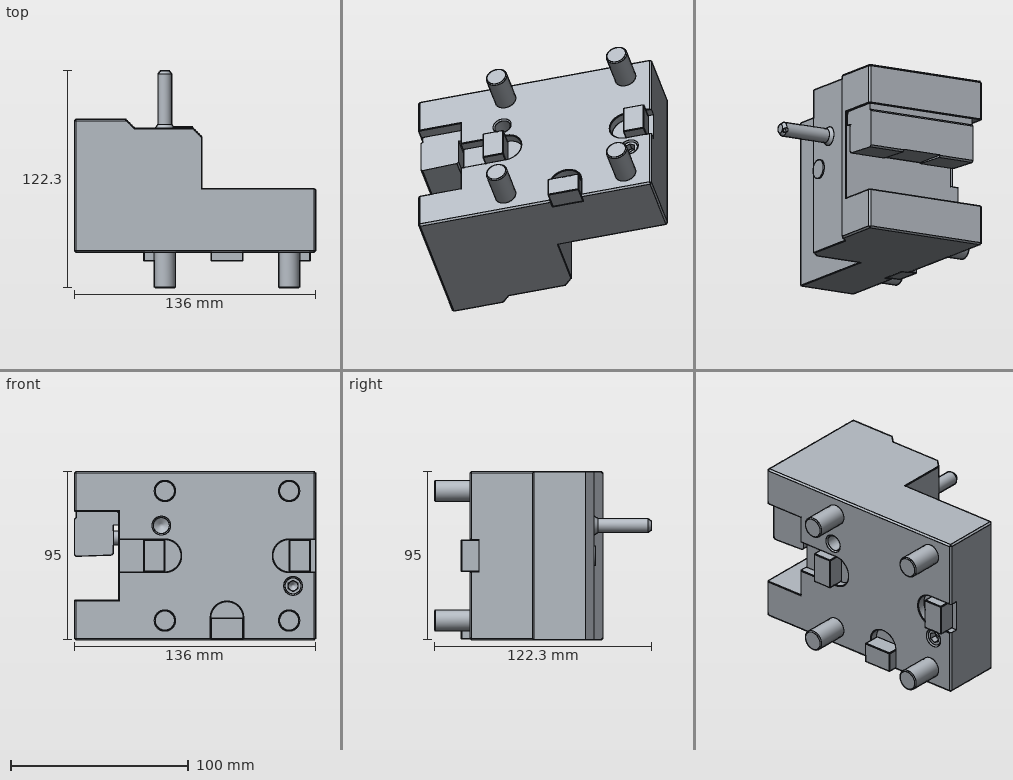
import cadquery as cq
import math

LENGTH = 136.0
DEPTH = 75.0
HEIGHT = 95.0
MID_Z = HEIGHT / 2
EDGE_CHAMFER = 1.0
FINE_CHAMFER = 0.4
WING_CORNER_CHAMFER = 0.9

STEP_BEVEL = 5.0
STEP_Y = DEPTH - STEP_BEVEL
STEP_START_X = 29.0
SHOULDER_X = 72.0
WING_Y = 36.0

JAW_DEPTH = 25.0
JAW_HEIGHT = 50.0
JAW_BOTTOM = MID_Z - JAW_HEIGHT / 2
JAW_TOP = MID_Z + JAW_HEIGHT / 2

PIN_DIAMETER = 12.0
PIN_LENGTH = 20.0
PIN_CHAMFER = 0.6
PIN_LEFT_X = 51.0
PIN_RIGHT_X = 121.0
PIN_SPACING_Z = 73.0

KEYWAY_DEPTH = 5.0
KEYWAY_OVERRUN = 2.0
MOUTH_TAPER = 45.0
KEY_WIDTH = 18.0
KEY_CLEARANCE = 0.2
KEYWAY_WIDTH = KEY_WIDTH + KEY_CLEARANCE
KEY_THICKNESS = 12.0
KEY_HEIGHT = 5.0
KEY_CHAMFER = 0.4
LOWER_KEYWAY_X = (PIN_LEFT_X + PIN_RIGHT_X) / 2
LOWER_KEYWAY_Z = 12.5
LOWER_KEY_BOTTOM = 0.5

TAP_DIAMETER = 9.0
TAP_MOUTH_DIAMETER = 10.6
TAP_DEPTH = 20.0
DRILL_POINT_ANGLE = 118.0
OPEN_HOLE_X = 49.0
OPEN_HOLE_Z = 64.5
SCREW_HOLE_X = 123.2
SCREW_HOLE_Z = 30.5
SCREW_SINK = 0.9
SCREW_END_Y = 25.0
SOCKET_WIDTH = 5.5
SOCKET_DEPTH = 4.0

ROD_DIAMETER = 8.0
ROD_X = 51.0
ROD_Z = 64.5
ROD_END_Y = 102.34
ROD_TIP_DIAMETER = 5.0
ROD_TIP_LENGTH = 2.0
DIMPLE_DIAMETER = 2.4
DIMPLE_SETBACK = 1.7
DIMPLE_DROP = 1.2
DIMPLE_FLOOR = 1.5
COLLAR_DIAMETER = 10.8
COLLAR_LENGTH = 2.1
CAP_X = 61.1
CAP_Z = MID_Z
CAP_DIAMETER = 10.8
CAP_HEIGHT = 0.8

CLAMP_FRONT_Y = 6.0
CLAMP_BACK_Y = 74.0
CLAMP_MID_Y = (CLAMP_FRONT_Y + CLAMP_BACK_Y) / 2
CLAMP_WIDTH = 22.0
CLAMP_BOTTOM_LEFT_Z = 47.1
CLAMP_BOTTOM_RIGHT_Z = 47.8
CLAMP_LEDGE_Z = 64.7
CLAMP_RELIEF = 1.0
CLAMP_RELIEF_Z = 68.0
CLAMP_CHAMFER = 1.0
CLAMP_NOTCH_WIDTH = 24.0
CLAMP_NOTCH_TOP = 48.4
STEM_DIAMETER = 8.0
STEM_Z = 57.5


def box(x0, x1, y0, y1, z0, z1):
    """Box between two corners."""
    return cq.Workplane("XY").box(x1 - x0, y1 - y0, z1 - z0, centered=False).translate((x0, y0, z0))


def turned(profile, x, z):
    """Solid of revolution about a Y-parallel axis; the profile lists (radius, y)."""
    half = cq.Workplane("XY").polyline(profile).close()
    return half.revolve(360, (0, 0, 0), (0, 1, 0)).translate((x, 0, z))


def step_edges():
    """Selector for the outer edges of the stepped back, on top, underneath and at the right end."""
    low = (STEP_START_X, WING_Y - FINE_CHAMFER, -FINE_CHAMFER)
    high = (LENGTH + FINE_CHAMFER, DEPTH - FINE_CHAMFER, HEIGHT + FINE_CHAMFER)
    rims = cq.selectors.BoxSelector(low, high)
    core = cq.selectors.BoxSelector((low[0], low[1], EDGE_CHAMFER), (high[0], high[1], HEIGHT - EDGE_CHAMFER))
    return rims - core


def jaw_edges():
    """Selector for the edges where the jaw opens through the front, back and left faces."""
    low_z = JAW_BOTTOM - FINE_CHAMFER
    high_z = JAW_TOP + FINE_CHAMFER
    around = cq.selectors.BoxSelector(
        (-FINE_CHAMFER, -FINE_CHAMFER, low_z), (JAW_DEPTH + FINE_CHAMFER, DEPTH + FINE_CHAMFER, high_z)
    )
    corners = cq.selectors.BoxSelector(
        (JAW_DEPTH - FINE_CHAMFER, EDGE_CHAMFER, low_z),
        (JAW_DEPTH + FINE_CHAMFER, DEPTH - EDGE_CHAMFER, high_z),
    )
    return around - corners


def main_block():
    """Chamfered block with a stepped back and the jaw opening."""
    block = box(0, LENGTH, 0, DEPTH, 0, HEIGHT).edges().chamfer(EDGE_CHAMFER)
    back_waste = (
        cq.Workplane("XY")
        .polyline([
            (STEP_START_X, DEPTH),
            (STEP_START_X + STEP_BEVEL, STEP_Y),
            (SHOULDER_X - STEP_BEVEL, STEP_Y),
            (SHOULDER_X, STEP_Y - STEP_BEVEL),
            (SHOULDER_X, WING_Y),
            (LENGTH, WING_Y),
            (LENGTH, DEPTH),
        ])
        .close()
        .extrude(HEIGHT)
    )
    block = block.cut(back_waste)
    block = block.edges(step_edges()).chamfer(FINE_CHAMFER)
    right_back_edge = cq.selectors.NearestToPointSelector((LENGTH, WING_Y, MID_Z))
    block = block.edges(right_back_edge).chamfer(WING_CORNER_CHAMFER)
    block = block.cut(box(0, JAW_DEPTH, 0, DEPTH, JAW_BOTTOM, JAW_TOP))
    return block.edges(jaw_edges()).chamfer(FINE_CHAMFER)


def pins():
    """Four locating pins standing out of the front face."""
    radius = PIN_DIAMETER / 2
    profile = [
        (0, EDGE_CHAMFER),
        (radius, EDGE_CHAMFER),
        (radius, PIN_CHAMFER - PIN_LENGTH),
        (radius - PIN_CHAMFER, -PIN_LENGTH),
        (0, -PIN_LENGTH),
    ]
    group = cq.Workplane("XY")
    for x in (PIN_LEFT_X, PIN_RIGHT_X):
        for z in (MID_Z - PIN_SPACING_Z / 2, MID_Z + PIN_SPACING_Z / 2):
            group = group.add(turned(profile, x, z))
    return group.combine()


def keyway_outline(radius, length):
    """Outline of a keyway on the front plane, rounded about the origin and open toward +X."""
    return (
        cq.Workplane("XZ")
        .moveTo(length, radius)
        .lineTo(0, radius)
        .threePointArc((-radius, 0), (0, -radius))
        .lineTo(length, -radius)
        .close()
    )


def keyway(x, z, length, angle):
    """Cutter for a keyway centred at (x, z), with a chamfered mouth; angle turns it about Y."""
    radius = KEYWAY_WIDTH / 2
    run = length + KEYWAY_OVERRUN
    groove = keyway_outline(radius, run).extrude(-KEYWAY_DEPTH)
    mouth = keyway_outline(radius + FINE_CHAMFER, run).extrude(-FINE_CHAMFER, taper=MOUTH_TAPER)
    return groove.union(mouth).rotate((0, 0, 0), (0, 1, 0), angle).translate((x, 0, z))


def key(x0, x1, z0, z1):
    """Key seated on the keyway floor, with its corners and outer end chamfered."""
    return box(x0, x1, -KEY_HEIGHT, KEYWAY_DEPTH, z0, z1).edges("|Y or <Y").chamfer(KEY_CHAMFER)


def tapped_hole(x, z):
    """Blind hole with a chamfered mouth and a drill point."""
    radius = TAP_DIAMETER / 2
    mouth = TAP_MOUTH_DIAMETER / 2
    point = radius / math.tan(math.radians(DRILL_POINT_ANGLE / 2))
    profile = [
        (0, 0),
        (mouth, 0),
        (radius, mouth - radius),
        (radius, TAP_DEPTH),
        (0, TAP_DEPTH + point),
    ]
    return turned(profile, x, z)


def set_screw():
    """Set screw filling the right hole past its drill point, with a hexagon socket."""
    body = cq.Workplane("XZ").circle(TAP_DIAMETER / 2).extrude(-SCREW_END_Y)
    body = body.cut(box(-TAP_DIAMETER, TAP_DIAMETER, 0, SCREW_SINK, -TAP_DIAMETER, TAP_DIAMETER))
    corner_diameter = SOCKET_WIDTH / math.cos(math.pi / 6)
    socket = cq.Workplane("XZ").polygon(6, corner_diameter).extrude(-SCREW_SINK - SOCKET_DEPTH)
    socket = socket.rotate((0, 0, 0), (0, 1, 0), 30)
    point_start = SCREW_SINK + SOCKET_DEPTH
    socket_radius = SOCKET_WIDTH / 2
    point = turned([(0, point_start), (socket_radius, point_start), (0, point_start + socket_radius)], 0, 0)
    return body.cut(socket).cut(point).translate((SCREW_HOLE_X, 0, SCREW_HOLE_Z))


def rod():
    """Rod standing out of the back step, with a conical collar and tip and a small dimple in the tip."""
    radius = ROD_DIAMETER / 2
    profile = [
        (0, STEP_Y - EDGE_CHAMFER),
        (COLLAR_DIAMETER / 2, STEP_Y - EDGE_CHAMFER),
        (COLLAR_DIAMETER / 2, STEP_Y),
        (radius, STEP_Y + COLLAR_LENGTH),
        (radius, ROD_END_Y - ROD_TIP_LENGTH),
        (ROD_TIP_DIAMETER / 2, ROD_END_Y),
        (0, ROD_END_Y),
    ]
    dimple = cq.Workplane("YZ").center(ROD_END_Y - DIMPLE_SETBACK, ROD_Z - DIMPLE_DROP)
    dimple = dimple.circle(DIMPLE_DIAMETER / 2).extrude(-ROD_DIAMETER).translate((ROD_X - DIMPLE_FLOOR, 0, 0))
    return turned(profile, ROD_X, ROD_Z).cut(dimple)


def cap():
    """Low round cap on the back step."""
    disc = cq.Workplane("XZ").circle(CAP_DIAMETER / 2).extrude(-CAP_HEIGHT - EDGE_CHAMFER)
    return disc.translate((CAP_X, STEP_Y - EDGE_CHAMFER, CAP_Z))


def clamp():
    """Clamp block hanging in the jaw, with a stem into the jaw wall."""
    outline = [
        (CLAMP_RELIEF, JAW_TOP),
        (JAW_DEPTH - CLAMP_CHAMFER, JAW_TOP),
        (JAW_DEPTH, JAW_TOP - CLAMP_CHAMFER),
        (JAW_DEPTH, CLAMP_LEDGE_Z),
        (CLAMP_WIDTH, CLAMP_LEDGE_Z),
        (CLAMP_WIDTH, CLAMP_BOTTOM_RIGHT_Z + CLAMP_CHAMFER),
        (CLAMP_WIDTH - CLAMP_CHAMFER, CLAMP_BOTTOM_RIGHT_Z),
        (CLAMP_CHAMFER, CLAMP_BOTTOM_LEFT_Z),
        (0, CLAMP_BOTTOM_LEFT_Z + CLAMP_CHAMFER),
        (0, CLAMP_RELIEF_Z),
        (CLAMP_RELIEF, CLAMP_RELIEF_Z + CLAMP_RELIEF),
    ]
    block = cq.Workplane("XZ").polyline(outline).close().extrude(CLAMP_FRONT_Y - CLAMP_BACK_Y)
    block = block.translate((0, CLAMP_FRONT_Y, 0))
    notch_half = CLAMP_NOTCH_WIDTH / 2
    notch = box(0, CLAMP_WIDTH, CLAMP_MID_Y - notch_half, CLAMP_MID_Y + notch_half, JAW_BOTTOM, CLAMP_NOTCH_TOP)
    stem = cq.Workplane("YZ").center(CLAMP_MID_Y, STEM_Z).circle(STEM_DIAMETER / 2).extrude(JAW_DEPTH)
    stem = stem.cut(box(0, CLAMP_WIDTH / 2, 0, DEPTH, 0, HEIGHT))
    return block.cut(notch).union(stem)


key_half = KEY_WIDTH / 2
body = main_block()
body = body.cut(keyway(PIN_LEFT_X, MID_Z, PIN_LEFT_X - JAW_DEPTH, 180))
body = body.cut(keyway(PIN_RIGHT_X, MID_Z, LENGTH - PIN_RIGHT_X, 0))
body = body.cut(keyway(LOWER_KEYWAY_X, LOWER_KEYWAY_Z, LOWER_KEYWAY_Z, 90))
keyway_floor_edge = cq.selectors.NearestToPointSelector((JAW_DEPTH, KEYWAY_DEPTH, MID_Z))
body = body.edges(keyway_floor_edge).chamfer(FINE_CHAMFER)
body = body.cut(tapped_hole(OPEN_HOLE_X, OPEN_HOLE_Z))
body = body.cut(tapped_hole(SCREW_HOLE_X, SCREW_HOLE_Z))
body = body.union(key(PIN_LEFT_X - KEY_THICKNESS, PIN_LEFT_X, MID_Z - key_half, MID_Z + key_half))
body = body.union(key(PIN_RIGHT_X, PIN_RIGHT_X + KEY_THICKNESS, MID_Z - key_half, MID_Z + key_half))
body = body.union(key(
    LOWER_KEYWAY_X - key_half, LOWER_KEYWAY_X + key_half, LOWER_KEY_BOTTOM, LOWER_KEY_BOTTOM + KEY_THICKNESS
))
for piece in (set_screw(), pins(), rod(), cap(), clamp()):
    body = body.union(piece)
result = body